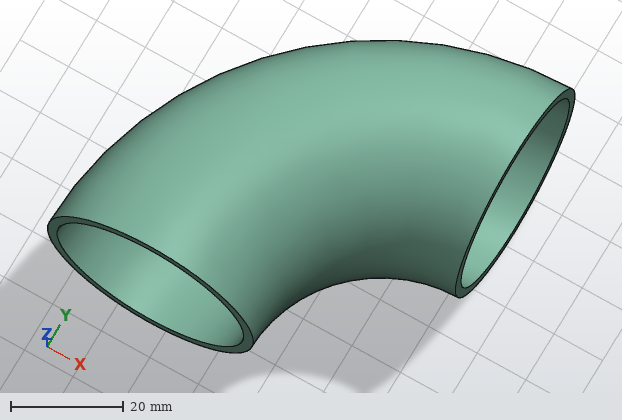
import cadquery as cq

outer_diameter = 42.4
wall_thickness = 2.0
bend_radius = 47.5
bend_angle = 90.0

inner_diameter = outer_diameter - 2 * wall_thickness


def make_elbow():
    """Revolve the ring section from the -X side of the bend axis round to the +Y side."""
    ring = (
        cq.Workplane("XZ")
        .center(-bend_radius, 0)
        .circle(outer_diameter / 2)
        .circle(inner_diameter / 2)
    )
    axis_start = (bend_radius, 0)
    axis_end = (bend_radius, -1)
    return ring.revolve(bend_angle, axis_start, axis_end)


result = make_elbow()